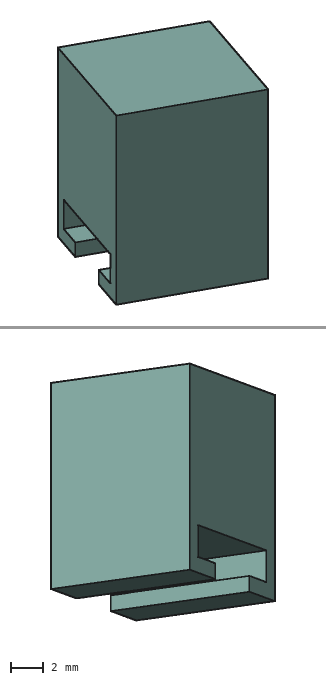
import cadquery as cq

height = 13.0
side = 10.0

wall = 1.0
lip_thickness = wall
slot_width = side - 2 * wall
slot_height = 2 * wall
mouth_width = 4 * wall


def slot_box(width, bottom, box_height):
    """Box centred on the Z axis that runs the full depth of the block."""
    return (
        cq.Workplane("XY")
        .box(width, side, box_height, centered=(True, True, False))
        .translate((0, 0, bottom))
    )


block = cq.Workplane("XY").box(side, side, height, centered=(True, True, False))
mouth = slot_box(mouth_width, 0, lip_thickness)
slot = slot_box(slot_width, lip_thickness, slot_height)

result = block.cut(mouth).cut(slot)